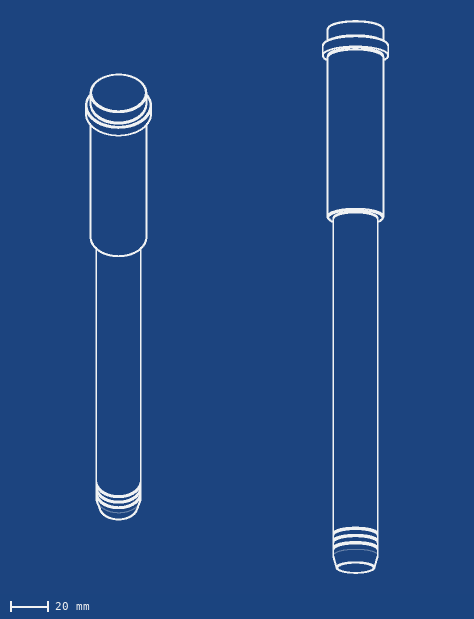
import cadquery as cq
import math

collar_diameter = 35.0
sleeve_diameter = 30.0
pillar_diameter = 24.0

total_length = 300.0
head_length = 9.0
collar_length = 6.0
sleeve_bottom = 194.75
nose_length = 7.0

head_chamfer = 0.5
collar_chamfer = 0.5
sleeve_chamfer_width = 0.5
sleeve_chamfer_height = 0.75

nose_angle = 15.0
tip_chamfer_width = 0.5
tip_chamfer_height = 0.25

neck_depth = 0.3
collar_neck_width = 1.0
sleeve_neck_width = 0.5

groove_count = 3
first_groove_bottom = 10.0
groove_pitch = 4.0
groove_width = 1.0
groove_depth = 0.25

collar_radius = collar_diameter / 2
sleeve_radius = sleeve_diameter / 2
pillar_radius = pillar_diameter / 2
collar_top = total_length - head_length
collar_bottom = collar_top - collar_length


def make_turned_part(outline):
    """Revolve a closed outline of (radius, height) points about the Z axis."""
    points = [(-radius, height) for radius, height in outline]
    return cq.Workplane("XZ").polyline(points).close().revolve(360, (0, 0), (0, 1))


def make_cylinder(diameter, bottom, top):
    """Cylinder on the Z axis between two heights."""
    radius = diameter / 2
    return make_turned_part([(0, bottom), (radius, bottom), (radius, top), (0, top)])


def make_ring_cutter(radius, depth, bottom, width, flank=0.0):
    """Ring that cuts a groove into a cylinder; flank is the height taken by each sloping side."""
    top = bottom + width
    floor_radius = radius - depth
    return make_turned_part(
        [
            (collar_radius, bottom),
            (radius, bottom),
            (floor_radius, bottom + flank),
            (floor_radius, top - flank),
            (radius, top),
            (collar_radius, top),
        ]
    )


def make_pillar():
    """Long slim cylinder that ends in the conical nose."""
    cone_drop = nose_length - tip_chamfer_height
    tip_radius = pillar_radius - cone_drop * math.tan(math.radians(nose_angle))
    return make_turned_part(
        [
            (0, 0),
            (tip_radius - tip_chamfer_width, 0),
            (tip_radius, tip_chamfer_height),
            (pillar_radius, nose_length),
            (pillar_radius, sleeve_bottom),
            (0, sleeve_bottom),
        ]
    )


def make_sleeve():
    """Thick upper cylinder, broken at both end edges."""
    return make_turned_part(
        [
            (0, sleeve_bottom),
            (sleeve_radius - sleeve_chamfer_width, sleeve_bottom),
            (sleeve_radius, sleeve_bottom + sleeve_chamfer_height),
            (sleeve_radius, total_length - head_chamfer),
            (sleeve_radius - head_chamfer, total_length),
            (0, total_length),
        ]
    )


def make_collar():
    """Locating collar with a chamfered upper rim."""
    return make_cylinder(collar_diameter, collar_bottom, collar_top).faces(">Z").chamfer(collar_chamfer)


def cut_necks(body):
    """Cut the necks above and below the collar and the one under the sleeve."""
    necks = [
        (sleeve_radius, collar_top, collar_neck_width),
        (sleeve_radius, collar_bottom - collar_neck_width, collar_neck_width),
        (pillar_radius, sleeve_bottom - sleeve_neck_width, sleeve_neck_width),
    ]
    for radius, bottom, width in necks:
        body = body.cut(make_ring_cutter(radius, neck_depth, bottom, width))
    return body


def cut_grooves(body):
    """Cut the evenly spaced lubrication grooves above the nose."""
    for index in range(groove_count):
        bottom = first_groove_bottom + index * groove_pitch
        body = body.cut(make_ring_cutter(pillar_radius, groove_depth, bottom, groove_width, groove_depth))
    return body


blank = make_pillar().union(make_sleeve()).union(make_collar())
result = cut_grooves(cut_necks(blank)).solids()